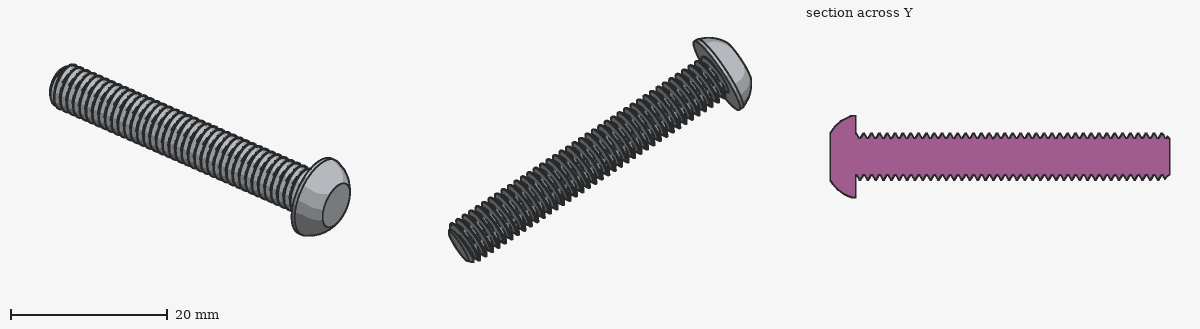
import cadquery as cq
import math

total_length = 43.3
head_diameter = 10.5
head_face_diameter = 6.0
head_height = 3.3
head_rim_height = 0.5
dome_bulge = 0.35

thread_diameter = 6.0
root_diameter = 4.7
tip_diameter = 4.5
thread_turns = 40
crest_share = 1 / 8
flank_half_angle = 30.0
flank_steps = 8

head_start = total_length - head_height
thread_pitch = head_start / thread_turns
thread_radius = thread_diameter / 2
root_radius = root_diameter / 2
tip_radius = tip_diameter / 2


def revolve_about_x(outline):
    return outline.close().revolve(360, (0, 0, 0), (1, 0, 0))


def polar(radius, angle):
    return (radius * math.cos(angle), radius * math.sin(angle))


def make_thread_turn(start):
    """One turn of right-hand thread starting at X = start with its crest on the +Z side.

    Across the axis a single-start thread is a crest arc and a root arc joined by two
    spirals. Twisting that section one full turn over one pitch gives the thread.
    """
    crest_angle = math.pi / 2
    flank_width = (thread_radius - root_radius) * math.tan(math.radians(flank_half_angle))
    half_crest_sweep = math.pi * crest_share
    flank_sweep = 2 * math.pi * flank_width / thread_pitch

    def flank_point(side, drop):
        radius = thread_radius + (root_radius - thread_radius) * drop
        return polar(radius, crest_angle + side * (half_crest_sweep + drop * flank_sweep))

    drops = [step / flank_steps for step in range(flank_steps + 1)]
    falling_flank = [flank_point(1, drop) for drop in drops]
    rising_flank = [flank_point(-1, drop) for drop in reversed(drops)]

    section = (
        cq.Workplane("YZ", origin=(start, 0, 0))
        .moveTo(*rising_flank[-1])
        .threePointArc(polar(thread_radius, crest_angle), falling_flank[0])
        .spline(falling_flank[1:], includeCurrent=True)
        .threePointArc(polar(root_radius, crest_angle + math.pi), rising_flank[0])
        .spline(rising_flank[1:], includeCurrent=True)
        .wire()
    )
    return section.twistExtrude(thread_pitch, 360)


def make_tip_cone():
    """45 degree cone that trims the first turn of thread."""
    cone_length = 2 * thread_pitch
    return revolve_about_x(
        cq.Workplane("XY")
        .lineTo(0, tip_radius)
        .lineTo(cone_length, tip_radius + cone_length)
        .lineTo(cone_length, 0)
    )


def make_head():
    """Domed head with a short cylindrical rim and a flat end face."""
    rim_radius = head_diameter / 2
    face_radius = head_face_diameter / 2
    rim_end = head_start + head_rim_height
    return revolve_about_x(
        cq.Workplane("XY")
        .moveTo(head_start, 0)
        .lineTo(head_start, rim_radius)
        .lineTo(rim_end, rim_radius)
        .sagittaArc((total_length, face_radius), dome_bulge)
        .lineTo(total_length, 0)
    )


def join_screw():
    """Sew tip, middle turns and head into one closed skin.

    Neighbouring turns meet in identical sections, so their touching end faces are left out
    and only the outer faces are joined.
    """
    tip = make_thread_turn(0).intersect(make_tip_cone())
    head = make_head().union(make_thread_turn(head_start - thread_pitch))
    outer_faces = tip.faces("not >X").vals() + head.faces("not <X").vals()
    for turn in range(1, thread_turns - 1):
        outer_faces += make_thread_turn(turn * thread_pitch).faces("not (<X or >X)").vals()
    return cq.Solid.makeSolid(cq.Shell.makeShell(outer_faces))


result = cq.Workplane("XY").newObject([join_screw()])